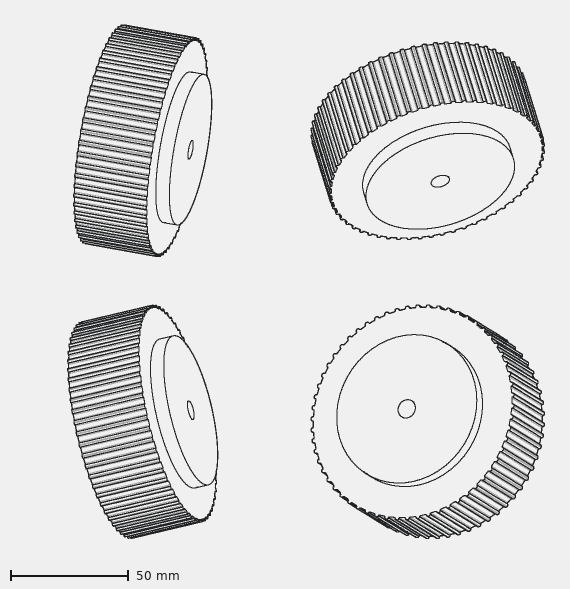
import cadquery as cq
import math

tooth_count = 60
tip_diameter = 94.3
floor_diameter = 92.1
tooth_width = 1.8
corner_radius = 0.8
root_radius = 0.5
rim_width = 32.0
hub_diameter = 65.0
hub_length = 6.0
bore_diameter = 8.0

tip_radius = tip_diameter / 2
floor_radius = floor_diameter / 2
pitch_angle = 2 * math.pi / tooth_count
half_tooth = tooth_width / 2


def tooth_point(along, across, tooth_angle):
    """Point given by its distances along and across a tooth's centre line."""
    return (
        along * math.cos(tooth_angle) - across * math.sin(tooth_angle),
        along * math.sin(tooth_angle) + across * math.cos(tooth_angle),
    )


def half_profile():
    """One side of a tooth as (along, across) points, from the groove floor up to the tip."""
    root_across = half_tooth + root_radius
    root_reach = floor_radius + root_radius
    root_along = math.sqrt(root_reach**2 - root_across**2)
    root_tilt = math.asin(root_across / root_reach)
    root_middle_angle = (math.pi / 2 + root_tilt) / 2

    corner_across = half_tooth - corner_radius
    corner_reach = tip_radius - corner_radius
    corner_along = math.sqrt(corner_reach**2 - corner_across**2)
    corner_tilt = math.asin(corner_across / corner_reach)
    corner_middle_angle = (math.pi / 2 + corner_tilt) / 2

    return [
        (floor_radius * math.cos(root_tilt), floor_radius * math.sin(root_tilt)),
        (
            root_along - root_radius * math.cos(root_middle_angle),
            root_across - root_radius * math.sin(root_middle_angle),
        ),
        (root_along, half_tooth),
        (corner_along, half_tooth),
        (
            corner_along + corner_radius * math.cos(corner_middle_angle),
            corner_across + corner_radius * math.sin(corner_middle_angle),
        ),
        (tip_radius * math.cos(corner_tilt), tip_radius * math.sin(corner_tilt)),
    ]


def toothed_outline():
    profile = half_profile()
    first_angle = pitch_angle / 2
    floor_along, floor_across = profile[0]
    outline = cq.Workplane("YZ").moveTo(*tooth_point(floor_along, -floor_across, first_angle))
    for index in range(tooth_count):
        angle = first_angle + index * pitch_angle
        rising = [tooth_point(along, -across, angle) for along, across in profile]
        falling = [tooth_point(along, across, angle) for along, across in reversed(profile)]
        groove_middle = tooth_point(floor_radius, 0, angle + pitch_angle / 2)
        next_root = tooth_point(floor_along, -floor_across, angle + pitch_angle)
        outline = (
            outline
            .threePointArc(rising[1], rising[2])
            .lineTo(*rising[3])
            .threePointArc(rising[4], rising[5])
            .threePointArc(tooth_point(tip_radius, 0, angle), falling[0])
            .threePointArc(falling[1], falling[2])
            .lineTo(*falling[3])
            .threePointArc(falling[4], falling[5])
            .threePointArc(groove_middle, next_root)
        )
    return outline.close()


rim = toothed_outline().extrude(rim_width)
hub = cq.Workplane("YZ").workplane(offset=rim_width).circle(hub_diameter / 2).extrude(hub_length)
bore = cq.Workplane("YZ").circle(bore_diameter / 2).extrude(rim_width + hub_length)

result = rim.union(hub).cut(bore)